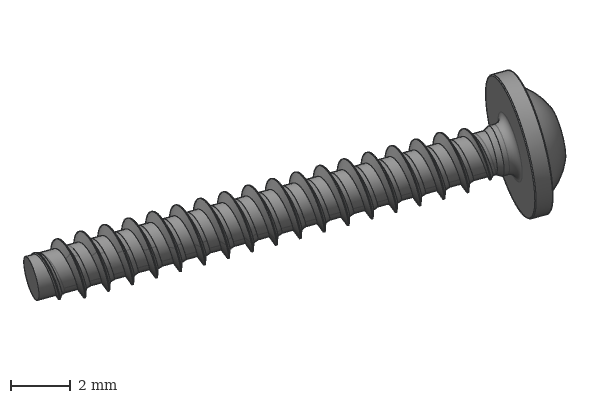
import cadquery as cq
import math

length = 18.6

flange_radius = 5.0 / 2
flange_thickness = 0.65
flange_chamfer = 0.04
dome_base_radius = 2.0
dome_flat_radius = 1.0
dome_height = 0.97
dome_y = length - dome_height
underside_y = dome_y - flange_thickness

neck_radius = 0.87
neck_fillet = 0.33
neck_end_y = 16.46
neck_cone_length = 0.2
core_radius = 0.76

crest_radius = 1.1
crest_half_width = 0.02
shoulder_radius = 0.82
shoulder_width = 0.13
head_side_root_width = 0.35
tip_side_root_width = 0.17
root_overlap = 0.02
thread_bottom = 0.13
thread_top = 16.48
thread_turns = 19.25
pitch = (thread_top - thread_bottom) / thread_turns
start_angle = 139.0
fade_turns = 1.4
points_per_turn = 16


def make_body():
    """Head, neck and smooth core, revolved about the Y axis."""
    centre_height = (dome_flat_radius**2 + dome_height**2 - dome_base_radius**2) / (2 * dome_height)
    dome_radius = math.hypot(dome_base_radius, centre_height)
    half_height = dome_height / 2
    half_height_radius = math.sqrt(dome_radius**2 - (half_height - centre_height) ** 2)

    fillet_shift = neck_fillet * (1 - math.sqrt(0.5))
    profile = (
        cq.Workplane("XY")
        .moveTo(0, 0)
        .lineTo(core_radius, 0)
        .lineTo(core_radius, neck_end_y - neck_cone_length)
        .lineTo(neck_radius, neck_end_y)
        .lineTo(neck_radius, underside_y - neck_fillet)
        .threePointArc(
            (neck_radius + fillet_shift, underside_y - fillet_shift),
            (neck_radius + neck_fillet, underside_y),
        )
        .lineTo(flange_radius - flange_chamfer, underside_y)
        .lineTo(flange_radius, underside_y + flange_chamfer)
        .lineTo(flange_radius, dome_y - flange_chamfer)
        .lineTo(flange_radius - flange_chamfer, dome_y)
        .lineTo(dome_base_radius, dome_y)
        .threePointArc((half_height_radius, dome_y + half_height), (dome_flat_radius, length))
        .lineTo(0, length)
        .close()
    )
    return profile.revolve(360, (0, 0, 0), (0, 1, 0))


def thread_section(turn):
    """Corners (radius, Y) of the thread profile after a number of turns."""
    fullness = min(1.0, turn / fade_turns, (thread_turns - turn) / fade_turns)
    root = core_radius - root_overlap
    faded_shoulder = root + root_overlap / 3
    faded_crest = root + root_overlap / 2
    shoulder = faded_shoulder + fullness * (shoulder_radius - faded_shoulder)
    crest = faded_crest + fullness * (crest_radius - faded_crest)
    y = thread_bottom + pitch * turn
    tip_side_root = crest_half_width + fullness * (tip_side_root_width - crest_half_width)
    return [
        (root, y - tip_side_root),
        (crest, y - crest_half_width),
        (crest, y + crest_half_width),
        (shoulder, y + shoulder_width),
        (root, y + head_side_root_width),
    ]


def on_helix(corner, turn):
    """Place a profile corner in space at its angle around the Y axis."""
    radius, y = corner
    angle = math.radians(start_angle + 360 * turn)
    return cq.Vector(radius * math.cos(angle), y, -radius * math.sin(angle))


def make_ridge(first_turn, last_turn):
    """Length of thread ridge: ruled faces between corner helices, with flat ends."""
    steps = math.ceil((last_turn - first_turn) * points_per_turn)
    step_size = (last_turn - first_turn) / steps
    turns = [first_turn + step_size * step for step in range(steps + 1)]
    corner_paths = zip(*[[on_helix(c, t) for c in thread_section(t)] for t in turns])
    edges = [cq.Edge.makeSpline(list(path)) for path in corner_paths]
    faces = [cq.Face.makeRuledSurface(edges[i - 1], edges[i]) for i in range(len(edges))]
    for turn in (turns[0], turns[-1]):
        corners = [on_helix(c, turn) for c in thread_section(turn)]
        faces.append(cq.Face.makeFromWires(cq.Wire.makePolygon(corners, close=True)))
    return cq.Solid.makeSolid(cq.Shell.makeShell(faces)).fix()


def make_thread():
    """The whole thread as end-to-end ridges: a fade, about one turn each, a fade."""
    full_turns = thread_turns - 2 * fade_turns
    ridge_count = round(full_turns)
    joints = [fade_turns + full_turns * i / ridge_count for i in range(ridge_count + 1)]
    joints = [0, *joints, thread_turns]
    return [make_ridge(first, last) for first, last in zip(joints, joints[1:])]


result = cq.Workplane(make_body().val().fuse(*make_thread()))